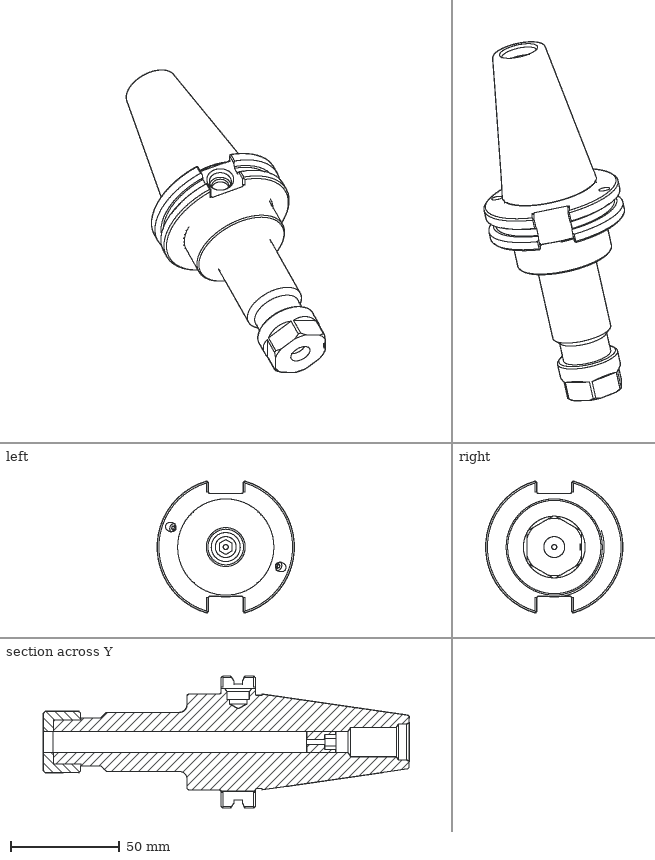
import cadquery as cq
import math


taper_small_radius = 12.5
taper_large_radius = 22.3
taper_length = 68.3
small_end_rounding = 1.4
relief_radius = 21.7

flange_start = 71.2
flange_width = 16.0
flange_end = flange_start + flange_width
flange_radius = 31.8
flange_chamfer = 0.8
relief_root_fillet = 0.3
collar_root_fillet = 0.8

groove_left_top = 76.1
groove_left_foot = 77.3
groove_right_foot = 81.0
groove_right_top = 82.7
groove_floor_radius = 28.0
groove_foot_radius = 29.2

slot_width = 16.0
slot_edge_chamfer = 0.8
slot_rim_chamfer = 0.7
slot_floor_fillet = 0.7
upper_slot_floor = 24.8
lower_slot_floor = 22.8

slot_hole_x = flange_start + flange_width / 2
slot_hole_mouth_diameter = 12.4
slot_hole_diameter = 10.2
slot_hole_tip_diameter = 8.0
slot_hole_depth = 5.1
slot_hole_tip_start = 7.1
slot_hole_mouth_depth = 1.5
slot_hole_tip_depth = 2.2

set_screw_diameter = 4.2
set_screw_length = 5.1
set_screw_recess = 2.5
set_screw_socket_flats = 2.0
set_screw_socket_depth = 2.0
set_screw_circle_radius = 27.0
set_screw_angle = 20
set_screw_tilt = 33

collar_radius = 22.3
collar_end = 103.0
collar_chamfer = 0.7
stem_radius = 13.8
stem_end = 140.1
stem_fillet = 3.4
neck_radius = 11.2
neck_start = 142.7

hex_sides = 6

nut_start = 152.0
nut_end = 169.3
nut_radius = 14.3
nut_rear_chamfer = 0.8
nut_front_chamfer = 1.0
hex_flats = 25.3
hex_start = 160.2
hex_runout = 1.0
nose_radius = 20.5 / 2
nose_end = 164.8
end_mark_width = 2.7
end_mark_thickness = 0.5
end_mark_offset = 12.0
end_mark_tip = 169.8

bore_mouth_radius = 18.0 / 2
bore_entry_radius = 16.5 / 2
bore_middle_radius = 13.5 / 2
bore_radius = 9.7 / 2
bore_mouth_depth = 1.4
bore_entry_depth = 5.1
bore_middle_start = 6.1
bore_middle_end = 27.2
bore_start = 28.4
stop_screw_start = 34.0
stop_screw_length = 13.6
stop_screw_socket_flats = 6.0
stop_screw_socket_depth = 5.1
stop_screw_hole_diameter = 2.2


def revolve_profile(points):
    """Revolve a closed (x, radius) outline about the X axis."""
    return cq.Workplane("XZ").polyline(points).close().revolve(360, (0, 0, 0), (1, 0, 0))


def axial_cylinder(radius, start, end):
    return cq.Workplane("YZ", origin=(start, 0, 0)).circle(radius).extrude(end - start)


def hex_prism(plane, flats, length, turn=0):
    """Hexagonal prism; with no turn its corners point along the local X direction."""
    corners = flats / math.cos(math.pi / hex_sides)
    return plane.transformed(rotate=(0, 0, turn)).polygon(hex_sides, corners).extrude(length)


def holder_blank():
    flange_edge = flange_radius - flange_chamfer
    profile = (
        cq.Workplane("XZ")
        .moveTo(0, 0)
        .lineTo(0, taper_small_radius - small_end_rounding)
        .radiusArc((small_end_rounding, taper_small_radius), small_end_rounding)
        .lineTo(taper_length, taper_large_radius)
        .lineTo(taper_length, relief_radius)
        .lineTo(flange_start - relief_root_fillet, relief_radius)
        .radiusArc((flange_start, relief_radius + relief_root_fillet), -relief_root_fillet)
        .lineTo(flange_start, flange_edge)
        .lineTo(flange_start + flange_chamfer, flange_radius)
        .lineTo(groove_left_top, flange_radius)
        .lineTo(groove_left_foot, groove_foot_radius)
        .lineTo(groove_left_foot, groove_floor_radius)
        .lineTo(groove_right_foot, groove_floor_radius)
        .lineTo(groove_right_foot, groove_foot_radius)
        .lineTo(groove_right_top, flange_radius)
        .lineTo(flange_end - flange_chamfer, flange_radius)
        .lineTo(flange_end, flange_edge)
        .lineTo(flange_end, collar_radius + collar_root_fillet)
        .radiusArc((flange_end + collar_root_fillet, collar_radius), -collar_root_fillet)
        .lineTo(collar_end - collar_chamfer, collar_radius)
        .lineTo(collar_end, collar_radius - collar_chamfer)
        .lineTo(collar_end, stem_radius + stem_fillet)
        .radiusArc((collar_end + stem_fillet, stem_radius), -stem_fillet)
        .lineTo(stem_end, stem_radius)
        .lineTo(neck_start, neck_radius)
        .lineTo(nut_start, neck_radius)
        .lineTo(nut_start, nose_radius)
        .lineTo(nose_end, nose_radius)
        .lineTo(nose_end, 0)
        .close()
    )
    return profile.revolve(360, (0, 0, 0), (1, 0, 0))


def axial_bore():
    return revolve_profile([
        (0, 0),
        (0, bore_mouth_radius),
        (bore_mouth_depth, bore_entry_radius),
        (bore_entry_depth, bore_entry_radius),
        (bore_middle_start, bore_middle_radius),
        (bore_middle_end, bore_middle_radius),
        (bore_start, bore_radius),
        (nose_end, bore_radius),
        (nose_end, 0),
    ])


def drive_slot(floor):
    """Slot along X through the +Z flange rim, with rounded floor corners and a flared rim."""
    half = slot_width / 2
    rim_half = half + slot_rim_chamfer
    rim = math.sqrt(flange_radius**2 - rim_half**2)
    section = (
        cq.Workplane("YZ", origin=(flange_start, 0, 0))
        .moveTo(half - slot_floor_fillet, floor)
        .radiusArc((half, floor + slot_floor_fillet), -slot_floor_fillet)
        .lineTo(half, rim - slot_rim_chamfer)
        .lineTo(rim_half, rim)
        .lineTo(rim_half, flange_radius)
        .lineTo(-rim_half, flange_radius)
        .lineTo(-rim_half, rim)
        .lineTo(-half, rim - slot_rim_chamfer)
        .lineTo(-half, floor + slot_floor_fillet)
        .radiusArc((slot_floor_fillet - half, floor), -slot_floor_fillet)
        .close()
    )
    return section.extrude(flange_width).union(slot_end_chamfers(floor + slot_floor_fillet))


def slot_end_chamfers(bottom):
    """Bevels where the slot walls meet the two flange faces, above the floor corners."""
    half = slot_width / 2
    wide = half + slot_edge_chamfer
    outline = [
        (flange_start, -wide),
        (flange_start + slot_edge_chamfer, -half),
        (flange_end - slot_edge_chamfer, -half),
        (flange_end, -wide),
        (flange_end, wide),
        (flange_end - slot_edge_chamfer, half),
        (flange_start + slot_edge_chamfer, half),
        (flange_start, wide),
    ]
    return cq.Workplane("XY", origin=(0, 0, bottom)).polyline(outline).close().extrude(flange_radius - bottom)


def slot_hole():
    """Countersunk blind hole with a conical tip, running down -Z from the upper slot floor."""
    outline = [
        (0, 0),
        (slot_hole_mouth_diameter / 2, 0),
        (slot_hole_diameter / 2, -slot_hole_mouth_depth),
        (slot_hole_diameter / 2, -slot_hole_depth),
        (slot_hole_tip_diameter / 2, -slot_hole_depth),
        (slot_hole_tip_diameter / 2, -slot_hole_tip_start),
        (0, -slot_hole_tip_start - slot_hole_tip_depth),
    ]
    plane = cq.Workplane("XZ", origin=(slot_hole_x, 0, upper_slot_floor))
    return plane.polyline(outline).close().revolve(360, (0, 0, 0), (0, 1, 0))


def set_screw_plane(side):
    """Plane at the mouth of a set screw hole, its normal leaning inward to the spindle axis."""
    angle = math.radians(set_screw_angle)
    tilt = math.radians(set_screw_tilt)
    outward = cq.Vector(0, side * math.cos(angle), side * math.sin(angle))
    normal = cq.Vector(math.cos(tilt), 0, 0) - outward * math.sin(tilt)
    origin = cq.Vector(flange_start, 0, 0) + outward * set_screw_circle_radius
    return cq.Workplane(cq.Plane(origin, cq.Vector(1, 0, 0).cross(outward), normal))


def set_screw_hole(side):
    depth = set_screw_recess + set_screw_length
    overrun = set_screw_diameter
    plane = set_screw_plane(side).workplane(offset=-overrun)
    return plane.circle(set_screw_diameter / 2).extrude(depth + overrun)


def make_set_screw(side):
    plane = set_screw_plane(side).workplane(offset=set_screw_recess)
    screw = plane.circle(set_screw_diameter / 2).extrude(set_screw_length)
    return screw.cut(hex_prism(plane, set_screw_socket_flats, set_screw_socket_depth))


def make_holder():
    holder = holder_blank().cut(axial_bore())
    holder = holder.cut(drive_slot(upper_slot_floor))
    holder = holder.cut(drive_slot(lower_slot_floor).rotate((0, 0, 0), (1, 0, 0), 180))
    holder = holder.cut(slot_hole())
    for side in (1, -1):
        holder = holder.cut(set_screw_hole(side))
    return holder


def make_stop_screw():
    screw = axial_cylinder(bore_radius, stop_screw_start, stop_screw_start + stop_screw_length)
    face = cq.Workplane("YZ", origin=(stop_screw_start, 0, 0))
    screw = screw.cut(hex_prism(face, stop_screw_socket_flats, stop_screw_socket_depth, 90))
    return screw.cut(face.circle(stop_screw_hole_diameter / 2).extrude(stop_screw_length))


def hex_flat_cutter(angle):
    """Removes one wrench flat, which ramps out to the round rear part of the nut."""
    flat_radius = hex_flats / 2
    outline = [
        (hex_start, flat_radius),
        (hex_start - hex_runout, nut_radius),
        (hex_start - hex_runout, 2 * nut_radius),
        (nut_end, 2 * nut_radius),
        (nut_end, flat_radius),
    ]
    cutter = cq.Workplane("XY").polyline(outline).close().extrude(nut_radius, both=True)
    return cutter.rotate((0, 0, 0), (1, 0, 0), angle)


def make_nut():
    blank = revolve_profile([
        (nut_start, 0),
        (nut_start, nut_radius - nut_rear_chamfer),
        (nut_start + nut_rear_chamfer, nut_radius),
        (nut_end - nut_front_chamfer, nut_radius),
        (nut_end, nut_radius - nut_front_chamfer),
        (nut_end, 0),
    ])
    nut = blank
    for index in range(hex_sides):
        nut = nut.cut(hex_flat_cutter(360 / hex_sides * index))
    nut = nut.cut(axial_cylinder(nose_radius, nut_start, nose_end))
    nut = nut.cut(axial_cylinder(bore_radius, nose_end, nut_end))
    mark = cq.Workplane("YZ", origin=(nut_end, 0, 0)).center(end_mark_offset, 0)
    return nut.union(mark.rect(end_mark_thickness, end_mark_width).extrude(end_mark_tip - nut_end))


holder = make_holder()
nut = make_nut()
stop_screw = make_stop_screw()
set_screws = [make_set_screw(side) for side in (1, -1)]

result = cq.Compound.makeCompound([
    holder.val(),
    nut.val(),
    stop_screw.val(),
    *[screw.val() for screw in set_screws],
])